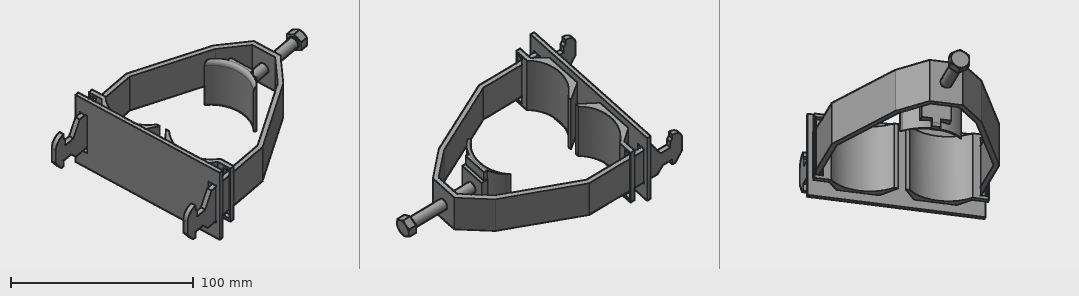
import cadquery as cq
import math


overall_length = 158.7

plate_length = 101.0
plate_height = 50.0
plate_thickness = 2.5

strap_thickness = 3.0
strap_width = 25.4
strap_half_span = 47.6
strap_elbow_y = 38.7
shoulder_half_span = 24.5
shoulder_y = 86.2
crown_half_span = 9.4
crown_y = 102.7
leg_end_y = -27.1

plate_slot_width = 5.2
plate_slot_height = 27.6
saddle_slot_width = 4.1
saddle_slot_height = 35.5

saddle_height = 39.7
saddle_top_y = 11.0
saddle_tab_thickness = 2.9
saddle_tab_end = 49.5
saddle_fold_outer = 40.2
saddle_fold_inner = 40.5
saddle_foot_outer = 34.1
saddle_foot_inner = 9.8
saddle_tip_outer = 4.5
saddle_tip_inner = 2.0
cradle_bottom_y = 2.5

screw_diameter = 6.7
screw_end_y = leg_end_y + overall_length
head_across_flats = 10.3
head_length = 5.4
head_chamfer = 0.5
collar_diameter = 7.6
collar_length = 0.5

shell_half_width = 17.1
shell_height = 34.0
shell_inner_crown_y = 76.7
shell_inner_end_y = 69.0
shell_outer_crown_y = 79.8
shell_outer_end_y = 71.9
shell_rim_fillet = 2.7
shell_end_fillet = 1.6
backing_width = 15.9
backing_y = 80.6
block_width = 16.8
block_y = 82.7
block_bottom_z = -12.4
block_top_z = 10.2
tongue_width = 4.8
tongue_chamfer_depth = 0.5
tongue_chamfer_length = 2.2


def centred_prism(outline, height):
    """Extrude a closed XY outline equally above and below Z = 0."""
    return outline.extrude(height / 2, both=True)


def make_plate():
    plate = cq.Workplane("XY").box(plate_length, plate_thickness, plate_height)
    plate = plate.translate((0, -plate_thickness / 2, 0))
    slot_x = strap_half_span - plate_slot_width / 2
    for side in (-1, 1):
        slot = cq.Workplane("XY").box(plate_slot_width, 3 * plate_thickness, plate_slot_height)
        plate = plate.cut(slot.translate((side * slot_x, -plate_thickness / 2, 0)))
    return plate


def strap_outline(inset):
    """Points of the bent strap, left leg to right leg, moved inwards by `inset`."""
    elbow_lean = math.atan2(strap_half_span - shoulder_half_span, shoulder_y - strap_elbow_y)
    shoulder_lean = math.atan2(shoulder_half_span - crown_half_span, crown_y - shoulder_y)
    elbow_shift = inset * math.tan(elbow_lean / 2)
    bisector = (elbow_lean + shoulder_lean) / 2
    shoulder_shift = inset / math.cos((shoulder_lean - elbow_lean) / 2)
    crown_shift = inset * math.tan((math.pi / 2 - shoulder_lean) / 2)
    right = [
        (crown_half_span - crown_shift, crown_y - inset),
        (
            shoulder_half_span - shoulder_shift * math.cos(bisector),
            shoulder_y - shoulder_shift * math.sin(bisector),
        ),
        (strap_half_span - inset, strap_elbow_y - elbow_shift),
        (strap_half_span - inset, leg_end_y),
    ]
    left = [(-x, y) for x, y in reversed(right)]
    return left + right


def make_hook_profile():
    """Side outline of the strap in YZ, with the hook at the end of the legs."""
    top_z = strap_width / 2
    upper_taper_start_y = -6.2
    upper_taper_end_y = -11.7
    lower_taper_start_y = -9.7
    lower_taper_end_y = -13.6
    neck_top_z = 2.5
    neck_bottom_z = -8.0
    jaw_y = -18.7
    jaw_top_z = 6.8
    barb_y = -20.2
    barb_lead_z = 8.9
    barb_bottom_z = -11.9
    barb_tip_y = -22.4
    nose_bottom_z = -5.0
    nose_radius = barb_y - leg_end_y
    nose_mid_offset = nose_radius * math.cos(math.pi / 4)
    nose_z = 4.8
    return (
        cq.Workplane("YZ")
        .moveTo(crown_y, top_z)
        .lineTo(upper_taper_start_y, top_z)
        .lineTo(upper_taper_end_y, neck_top_z)
        .lineTo(jaw_y, neck_top_z)
        .lineTo(jaw_y, jaw_top_z)
        .lineTo(barb_y, barb_lead_z)
        .lineTo(barb_y, nose_z + nose_radius)
        .threePointArc(
            (barb_y - nose_mid_offset, nose_z + nose_mid_offset),
            (leg_end_y, nose_z),
        )
        .lineTo(leg_end_y, nose_bottom_z)
        .lineTo(barb_tip_y, barb_bottom_z)
        .lineTo(barb_y, barb_bottom_z)
        .lineTo(barb_y, neck_bottom_z)
        .lineTo(lower_taper_end_y, neck_bottom_z)
        .lineTo(lower_taper_start_y, -top_z)
        .lineTo(crown_y, -top_z)
        .close()
    )


def make_strap():
    outline = strap_outline(0) + strap_outline(strap_thickness)[::-1]
    band = centred_prism(cq.Workplane("XY").polyline(outline).close(), strap_width)
    strap = band.intersect(make_hook_profile().extrude(strap_half_span, both=True))
    screw_hole = (
        cq.Workplane("XZ", origin=(0, crown_y, 0))
        .circle(screw_diameter / 2)
        .extrude(strap_thickness)
    )
    return strap.cut(screw_hole)


def make_saddle(side):
    """Saddle on the right (side = 1) or left (side = -1) half of the plate."""
    tab_under_y = saddle_top_y - saddle_tab_thickness
    cradle_x = (saddle_fold_outer + saddle_tip_outer) / 2
    outline = (
        cq.Workplane("XY")
        .moveTo(side * saddle_foot_inner, 0)
        .lineTo(side * saddle_foot_outer, 0)
        .lineTo(side * saddle_fold_inner, tab_under_y)
        .lineTo(side * saddle_tab_end, tab_under_y)
        .lineTo(side * saddle_tab_end, saddle_top_y)
        .lineTo(side * saddle_fold_outer, saddle_top_y)
        .threePointArc(
            (side * cradle_x, cradle_bottom_y),
            (side * saddle_tip_outer, saddle_top_y),
        )
        .lineTo(side * saddle_tip_inner, saddle_top_y)
        .close()
    )
    slot_x = strap_half_span - strap_thickness + saddle_slot_width / 2
    slot = cq.Workplane("XY").box(saddle_slot_width, 2 * saddle_top_y, saddle_slot_height)
    slot = slot.translate((side * slot_x, saddle_top_y, 0))
    return centred_prism(outline, saddle_height).cut(slot)


def make_screw():
    head_y = screw_end_y - head_length
    across_corners = head_across_flats / math.cos(math.pi / 6)
    head_plane = cq.Workplane("XZ", origin=(0, head_y, 0))
    head = (
        head_plane.transformed(rotate=(0, 0, 30))
        .polygon(6, across_corners)
        .extrude(-head_length)
    )
    head_chamfer_width = (across_corners - head_across_flats) / 2
    chamfered_blank = (
        head_plane.circle(across_corners / 2)
        .extrude(-head_length)
        .faces(">Y")
        .chamfer(head_chamfer, head_chamfer_width)
    )
    collar = head_plane.circle(collar_diameter / 2).extrude(collar_length)
    shaft = head_plane.circle(screw_diameter / 2).extrude(head_y - block_y)
    return head.intersect(chamfered_blank).union(collar).union(shaft)


def pad_backing(width, back_y, bottom_z, top_z):
    """Rectangular block from the chord of the shell's outer face out to `back_y`."""
    return (
        cq.Workplane("XY", origin=(0, 0, bottom_z))
        .moveTo(0, (shell_outer_end_y + back_y) / 2)
        .rect(width, back_y - shell_outer_end_y)
        .extrude(top_z - bottom_z)
    )


def make_shell():
    outline = (
        cq.Workplane("XY")
        .moveTo(-shell_half_width, shell_inner_end_y)
        .threePointArc((0, shell_inner_crown_y), (shell_half_width, shell_inner_end_y))
        .lineTo(shell_half_width, shell_outer_end_y)
        .threePointArc((0, shell_outer_crown_y), (-shell_half_width, shell_outer_end_y))
        .close()
    )
    shell = centred_prism(outline, shell_height)
    for corner_x in (-shell_half_width, shell_half_width):
        corner = cq.selectors.NearestToPointSelector((corner_x, shell_outer_end_y, 0))
        shell = shell.edges(corner).fillet(shell_end_fillet)
    rim_y = shell_inner_crown_y - (shell_inner_crown_y - shell_inner_end_y) / 3
    for rim_z in (-shell_height / 2, shell_height / 2):
        rim = cq.selectors.NearestToPointSelector((0, rim_y, rim_z))
        shell = shell.edges(rim).fillet(shell_rim_fillet)
    return shell


def make_pad():
    half_height = shell_height / 2
    backing = pad_backing(backing_width, backing_y, block_bottom_z, half_height)
    block = pad_backing(block_width, block_y, block_bottom_z, block_top_z)
    tongue = pad_backing(tongue_width, block_y, -half_height, block_bottom_z)
    tongue = tongue.faces("<Z").edges(">Y").chamfer(tongue_chamfer_length, tongue_chamfer_depth)
    shell_space = centred_prism(
        cq.Workplane("XY")
        .moveTo(-shell_half_width, shell_outer_end_y)
        .threePointArc((0, shell_outer_crown_y), (shell_half_width, shell_outer_end_y))
        .close(),
        shell_height,
    )
    backings = backing.union(block).union(tongue).cut(shell_space)
    return make_shell().union(backings)


plate = make_plate()
strap = make_strap()
saddles = [make_saddle(side) for side in (-1, 1)]
screw = make_screw()
pad = make_pad()

result = cq.Compound.makeCompound(
    [plate.val(), strap.val(), *[saddle.val() for saddle in saddles], screw.val(), pad.val()]
)